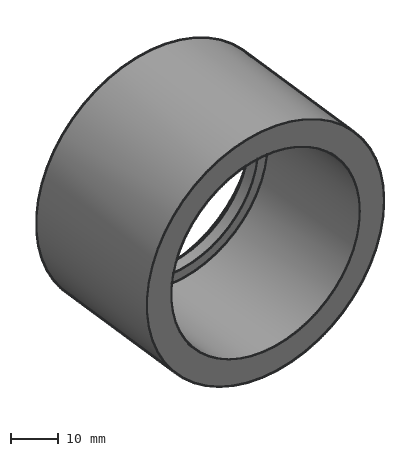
import cadquery as cq

length = 38.0
outer_diameter = 63.0
lip_diameter = 45.0
bore_diameter = 50.0
mouth_diameter = 51.5
lip_width = 3.15

outer_radius = outer_diameter / 2
lip_radius = lip_diameter / 2
bore_radius = bore_diameter / 2
mouth_radius = mouth_diameter / 2

chamfer_depth = mouth_radius - lip_radius
front_x = -length / 2
back_x = length / 2
lip_start_x = front_x + chamfer_depth
lip_end_x = lip_start_x + lip_width

wall_section = [
    (front_x, outer_radius),
    (back_x, outer_radius),
    (back_x, bore_radius),
    (lip_end_x, bore_radius),
    (lip_end_x, lip_radius),
    (lip_start_x, lip_radius),
    (front_x, mouth_radius),
]

result = cq.Workplane("XY").polyline(wall_section).close().revolve(360, (0, 0, 0), (1, 0, 0))